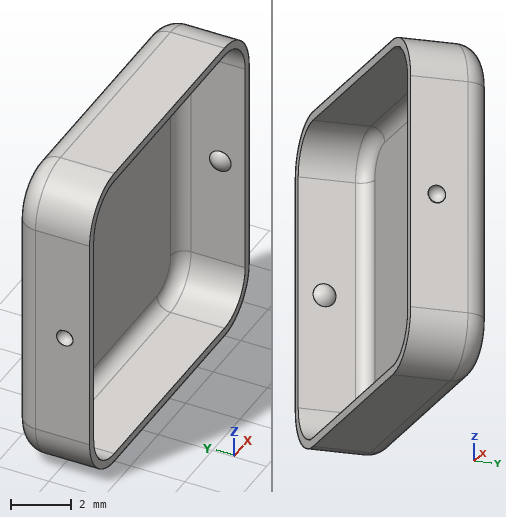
import cadquery as cq

side = 11.6
depth = 2.8
wall = 0.3

corner_radius = 1.8
floor_edge_radius = 0.8

bump_radius = 0.5
dimple_radius = 0.3
bump_from_rim = 0.92


def rounded_block(width, length, vertical_radius, end_radius):
    """Rounded-square block along +Y from the rim plane, with its +Y edge filleted."""
    block = cq.Workplane("XZ").rect(width, width).extrude(-length)
    block = block.edges("|Y").fillet(vertical_radius)
    return block.faces(">Y").edges().fillet(end_radius)


def ball(radius, x):
    """Sphere with its poles along X, on the mid-height line of an X wall."""
    return cq.Workplane("YZ").sphere(radius).translate((x, bump_from_rim, 0))


outer = rounded_block(side, depth, corner_radius, floor_edge_radius)
cavity = rounded_block(
    side - 2 * wall, depth - wall, corner_radius - wall, floor_edge_radius - wall
)

dimples = []
for wall_face in (-side / 2, side / 2):
    cavity = cavity.cut(ball(bump_radius, wall_face))
    dimples.append(ball(dimple_radius, wall_face))

result = outer.cut(cavity)
for dimple in dimples:
    result = result.cut(dimple)